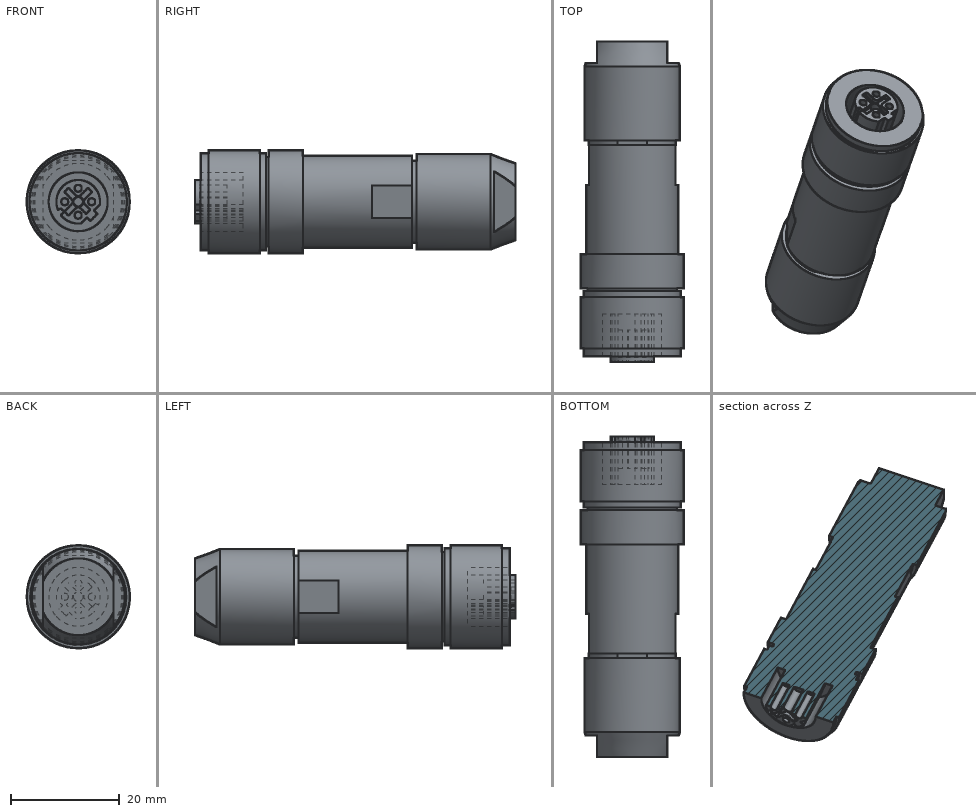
import cadquery as cq
import math

LENGTH = 59.0

FACE_Y = 1.05
COUPLING_Y = 2.55
RING_Y = 12.0
NECK_Y = 13.1
COLLAR_Y = 13.55
BODY_Y = 19.9
GROOVE_Y = 39.95
CAP_Y = 40.75
TAPER_Y = 54.4
COUPLING_R = 9.5
RING_R = 8.95
NECK_R = 8.25
BODY_R = 8.5
GROOVE_R = 8.0
CAP_R = 8.8
CABLE_END_R = 7.1

GROOVE_FLAT = 7.55
BODY_FLAT = 7.95
BODY_FLAT_Y = 32.6
CAP_FLAT = 6.5
CAP_FLAT_Y = 55.05

BORE_R = 5.4
BORE_DEPTH = 8.85
INSERT_R = 4.0
INSERT_FLAT = 3.2
KEY_WIDTH = 1.8
KEY_REACH = 4.1
KEY_ANGLE = -45.0
NOTCH_ANGLE = 225.0
NOTCH_FLOOR = 3.1
NOTCH_FLOOR_WIDTH = 0.8
NOTCH_MOUTH_WIDTH = 1.5
CONTACT_R = 0.65
CONTACT_CIRCLE_R = 2.5
CONTACT_DEPTH = 5.9
CENTRE_R = 0.9
SLOT_WIDTH = 1.05
SLOT_REACH = 3.05
SHORT_SLOT_REACH = 2.6
SLOT_DEPTH = 0.9
SLOT_CORNER_R = 0.7


def rod(radius, start, end, x=0.0, z=0.0):
    """Cylinder along Y between two stations."""
    plane = cq.Workplane("XZ", origin=(x, start, z))
    return plane.circle(radius).extrude(start - end)


def radial_bar(inner, outer, width, start, end, angle):
    """Rectangular bar reaching outward from the axis at an angle in the XZ plane."""
    size = (outer - inner, end - start, width)
    bar = cq.Workplane("XY").box(*size, centered=(False, False, True))
    bar = bar.translate((inner, start, 0))
    return bar.rotate((0, 0, 0), (0, 1, 0), -angle)


def cut_flats(solid, distance, start, end, angles):
    """Cut flats at a given distance from the axis."""
    outside = 2 * COUPLING_R
    for angle in angles:
        solid = solid.cut(radial_bar(distance, outside, 2 * outside, start, end, angle))
    return solid


def make_shell():
    sleeves = [
        (RING_R, FACE_Y, COUPLING_Y),
        (COUPLING_R, COUPLING_Y, RING_Y),
        (RING_R, RING_Y, NECK_Y),
        (NECK_R, NECK_Y, COLLAR_Y),
        (COUPLING_R, COLLAR_Y, BODY_Y),
        (BODY_R, BODY_Y, GROOVE_Y),
        (GROOVE_R, GROOVE_Y, CAP_Y),
        (CAP_R, CAP_Y, TAPER_Y),
    ]
    outline = cq.Workplane("XY").moveTo(0, FACE_Y)
    for radius, start, end in sleeves:
        outline = outline.lineTo(radius, start).lineTo(radius, end)
    outline = outline.lineTo(CABLE_END_R, LENGTH).lineTo(0, LENGTH).close()
    shell = outline.revolve(360, (0, 0, 0), (0, 1, 0))

    shell = cut_flats(shell, BODY_FLAT, BODY_FLAT_Y, GROOVE_Y, (0, 180))
    shell = cut_flats(shell, GROOVE_FLAT, GROOVE_Y, CAP_Y, (90, 270))
    shell = cut_flats(shell, CAP_FLAT, CAP_FLAT_Y, LENGTH, (0, 180))
    return shell.cut(rod(BORE_R, FACE_Y, BORE_DEPTH))


def make_cross():
    """Diagonal cross slots with rounded inner corners; the arm towards the key is shorter."""
    cross = radial_bar(0, SHORT_SLOT_REACH, SLOT_WIDTH, 0, SLOT_DEPTH, KEY_ANGLE)
    for angle in (45, 135, 225):
        cross = cross.union(radial_bar(0, SLOT_REACH, SLOT_WIDTH, 0, SLOT_DEPTH, angle))
    inner_corners = cq.selectors.BoxSelector(
        (-SLOT_WIDTH, 0, -SLOT_WIDTH), (SLOT_WIDTH, SLOT_DEPTH, SLOT_WIDTH)
    )
    return cross.edges("|Y").edges(inner_corners).fillet(SLOT_CORNER_R)


def make_notch():
    """Side notch widening outward, with one wall in line with a slot wall."""
    wall = SLOT_WIDTH / 2
    mouth = (INSERT_R + BORE_R) / 2
    corners = [
        (NOTCH_FLOOR, -wall),
        (mouth, -wall),
        (mouth, -wall - NOTCH_MOUTH_WIDTH),
        (NOTCH_FLOOR, -wall - NOTCH_FLOOR_WIDTH),
    ]
    notch = cq.Workplane("XZ").polyline(corners).close().extrude(-BORE_DEPTH)
    return notch.rotate((0, 0, 0), (0, 1, 0), -NOTCH_ANGLE)


def make_insert():
    insert = rod(INSERT_R, 0, BORE_DEPTH)
    insert = cut_flats(insert, INSERT_FLAT, 0, BORE_DEPTH, (KEY_ANGLE,))
    insert = insert.union(radial_bar(0, KEY_REACH, KEY_WIDTH, 0, BORE_DEPTH, KEY_ANGLE))
    insert = insert.cut(make_notch()).cut(make_cross())

    insert = insert.cut(rod(CENTRE_R, 0, CONTACT_DEPTH))
    for angle in (0, 90, 180, 270):
        x = CONTACT_CIRCLE_R * math.cos(math.radians(angle))
        z = CONTACT_CIRCLE_R * math.sin(math.radians(angle))
        insert = insert.cut(rod(CONTACT_R, 0, CONTACT_DEPTH, x, z))
    return insert


result = make_shell().union(make_insert())